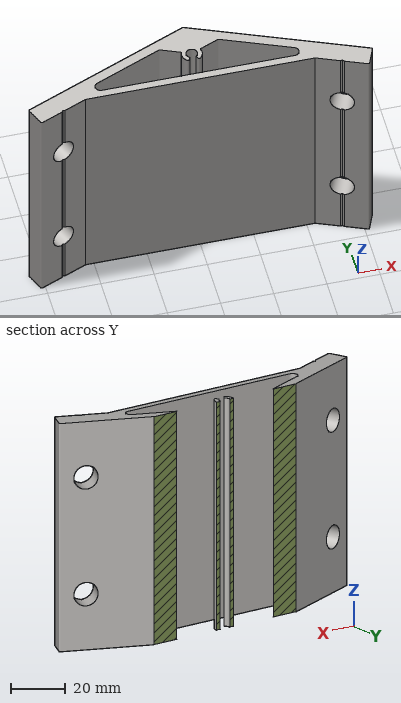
import cadquery as cq
import math

height = 88.0
arm_slope = 22.5
arm_length = 70.0
arm_thickness = 8.0
end_radius = 0.5
apex_radius = 0.3

plate_front_depth = 26.52
plate_thickness = 3.0
wall_thickness = 4.0
cavity_corner_radius = 2.0
cavity_peak_radius = 0.5

port_depth = 13.5
port_radius = 2.1
port_outer_radius = 3.85
port_mouth_angle = 62.0
port_tip_radius = 0.4

hole_diameter = 9.0
hole_end_distance = 10.0
hole_spacing = 45.0

groove_width = 1.5
groove_angle = 120.0

clearance = 1.0
edge_reach = 0.05

slope = math.radians(arm_slope)
tan_slope = math.tan(slope)
cos_slope = math.cos(slope)
sin_slope = math.sin(slope)
hole_station = arm_length - hole_end_distance


def arm_point(station, depth, side):
    """Point at a distance along an arm's outer face and a depth below it."""
    x = station * cos_slope - depth * sin_slope
    y = -station * sin_slope - depth * cos_slope
    return (side * x, y)


def extrude_outline(points):
    return cq.Workplane("XY").polyline(points).close().extrude(height / 2, both=True)


def round_vertical_edges(body, points, radius):
    """Fillet the Z-parallel edges that pass through the given points."""
    for x, y in points:
        selector = cq.selectors.BoxSelector(
            (x - edge_reach, y - edge_reach, -height), (x + edge_reach, y + edge_reach, height)
        )
        body = body.edges("|Z").edges(selector).fillet(radius)
    return body


def make_body():
    apex = (0, 0)
    outer_left = arm_point(arm_length, 0, -1)
    outer_right = arm_point(arm_length, 0, 1)
    inner_left = arm_point(arm_length, arm_thickness, -1)
    inner_right = arm_point(arm_length, arm_thickness, 1)
    bend_x = (plate_front_depth - arm_thickness / cos_slope) / tan_slope
    bend_left = (-bend_x, -plate_front_depth)
    bend_right = (bend_x, -plate_front_depth)
    body = extrude_outline(
        [apex, outer_right, inner_right, bend_right, bend_left, inner_left, outer_left]
    )
    body = round_vertical_edges(body, [outer_left, outer_right, inner_left, inner_right], end_radius)
    return round_vertical_edges(body, [apex], apex_radius)


def make_cavity():
    """Cavity with a roof that dips to a V at the screw port."""
    roof_depth = wall_thickness / cos_slope
    floor_depth = plate_front_depth - plate_thickness
    corner_x = (floor_depth - roof_depth) / tan_slope
    peak_x = (port_depth - roof_depth) / (2 * tan_slope)
    peak_depth = (port_depth + roof_depth) / 2
    corners = [(-corner_x, -floor_depth), (corner_x, -floor_depth)]
    peaks = [(peak_x, -peak_depth), (-peak_x, -peak_depth)]
    cavity = extrude_outline(corners + [peaks[0], (0, -port_depth), peaks[1]])
    cavity = round_vertical_edges(cavity, corners, cavity_corner_radius)
    return round_vertical_edges(cavity, peaks, cavity_peak_radius)


def make_port_cylinder(radius):
    return cq.Workplane("XY").center(0, -port_depth).circle(radius).extrude(height / 2, both=True)


def make_port_mouth():
    """Wedge with radial sides that opens the port towards the plate."""
    mouth_depth = port_outer_radius + clearance
    mouth_half_width = mouth_depth * math.tan(math.radians(port_mouth_angle / 2))
    mouth_y = -port_depth - mouth_depth
    return extrude_outline([(0, -port_depth), (-mouth_half_width, mouth_y), (mouth_half_width, mouth_y)])


def port_tip_corners():
    """Inner and outer corners of the two port ends beside the mouth."""
    half_angle = math.radians(port_mouth_angle / 2)
    return [
        (side * radius * math.sin(half_angle), -port_depth - radius * math.cos(half_angle))
        for side in (-1, 1)
        for radius in (port_radius, port_outer_radius)
    ]


def make_hole(side, z):
    start_x, start_y = arm_point(hole_station, -clearance, side)
    direction = cq.Vector(-side * sin_slope, -cos_slope, 0)
    axis_plane = cq.Plane(origin=(start_x, start_y, z), xDir=(0, 0, 1), normal=direction)
    return cq.Workplane(axis_plane).circle(hole_diameter / 2).extrude(arm_thickness + 2 * clearance)


def make_groove(side):
    """V groove in the inner face of an arm."""
    half_width = groove_width / 2
    groove_depth = half_width / math.tan(math.radians(groove_angle / 2))
    return extrude_outline([
        arm_point(hole_station - half_width, arm_thickness, side),
        arm_point(hole_station, arm_thickness - groove_depth, side),
        arm_point(hole_station + half_width, arm_thickness, side),
    ])


result = make_body().cut(make_cavity())
result = result.union(make_port_cylinder(port_outer_radius))
result = result.cut(make_port_cylinder(port_radius)).cut(make_port_mouth())
result = round_vertical_edges(result, port_tip_corners(), port_tip_radius)

for side in (-1, 1):
    result = result.cut(make_groove(side))
    for z in (-hole_spacing / 2, hole_spacing / 2):
        result = result.cut(make_hole(side, z))